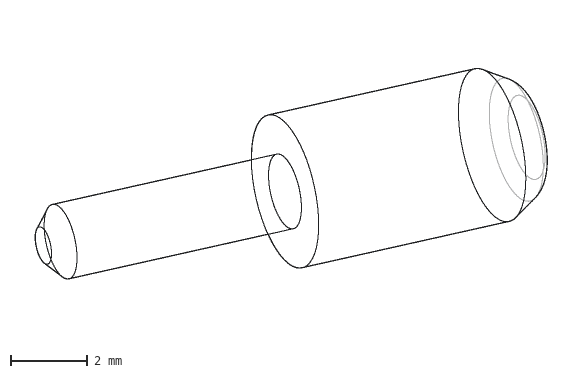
import cadquery as cq
import math

body_diameter = 4.1
body_length = 7.0
shank_diameter = 2.0
shank_length = 7.0
shank_chamfer = 0.5

lead_length = 1.0
lead_half_angle = math.radians(30)
nose_round_radius = 0.6

body_radius = body_diameter / 2
shank_radius = shank_diameter / 2


def make_shank():
    """Thin shank running toward -Y, chamfered at its tip."""
    shank = cq.Workplane("XZ").circle(shank_radius).extrude(shank_length)
    return shank.faces("<Y").chamfer(shank_chamfer)


def make_body():
    """Thick body running toward +Y, with a conical lead-in and a rounded nose."""
    cone_end_radius = body_radius - lead_length * math.tan(lead_half_angle)
    profile = (
        cq.Workplane("XY")
        .lineTo(body_radius, 0)
        .lineTo(body_radius, body_length - lead_length)
        .lineTo(cone_end_radius, body_length)
        .lineTo(0, body_length)
        .close()
    )
    body = profile.revolve(360, (0, 0, 0), (0, 1, 0))
    return body.faces(">Y").edges().fillet(nose_round_radius)


result = make_body().union(make_shank())